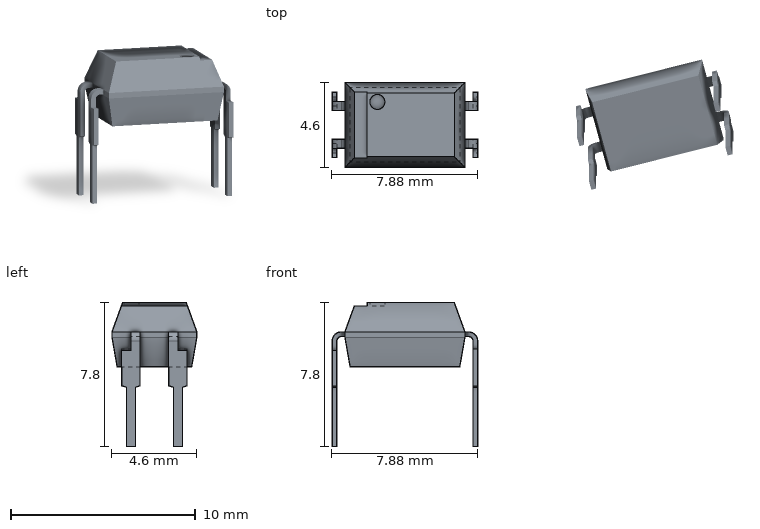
import cadquery as cq
import math


BODY_LENGTH = 6.5
BODY_WIDTH = 4.6
LOWER_HEIGHT = 1.6
BAND_HEIGHT = 0.3
UPPER_HEIGHT = 1.6
LOWER_DRAFT = 10.0
UPPER_DRAFT = 20.0
BAND_BOTTOM = LOWER_HEIGHT
BAND_TOP = BAND_BOTTOM + BAND_HEIGHT
BODY_TOP = BAND_TOP + UPPER_HEIGHT

STEP_LENGTH = 1.2
STEP_DEPTH = 0.19

MARK_DIAMETER = 0.81
MARK_DEPTH = 0.2
MARK_X = -1.49
MARK_Y = 1.24

OVERALL_LENGTH = 7.88
OVERALL_HEIGHT = 7.8
LEAD_PITCH = 2.54
LEAD_THICKNESS = 0.26
BEND_RADIUS = 0.5
SHOULDER_WIDTH = 1.0
PIN_WIDTH = 0.5
LEFT_SHOULDER_DROP = 1.0
RIGHT_SHOULDER_DROP = 0.94
SHOULDER_END_DROP = 2.92
PIN_START_DROP = 3.0
LEAD_EMBED = 0.1
LEAD_BOTTOM = BODY_TOP - OVERALL_HEIGHT


def make_body():
    """Straight parting band between two halves that taper away from it."""
    band = cq.Workplane("XY", origin=(0, 0, BAND_BOTTOM))
    band = band.rect(BODY_LENGTH, BODY_WIDTH).extrude(BAND_HEIGHT)
    lower = band.faces("<Z").workplane().rect(BODY_LENGTH, BODY_WIDTH)
    lower = lower.extrude(LOWER_HEIGHT, taper=LOWER_DRAFT, combine=False)
    upper = band.faces(">Z").workplane().rect(BODY_LENGTH, BODY_WIDTH)
    upper = upper.extrude(UPPER_HEIGHT, taper=UPPER_DRAFT, combine=False)
    return band.union(lower).union(upper)


def make_step_cutter():
    """Block that lowers the top face across the pin 1 end."""
    corner = (-BODY_LENGTH / 2, -BODY_WIDTH / 2, BODY_TOP - STEP_DEPTH)
    outline = cq.Workplane("XY", origin=corner).rect(STEP_LENGTH, BODY_WIDTH, centered=False)
    return outline.extrude(STEP_DEPTH)


def make_mark_cutter():
    """Shallow round recess beside the step."""
    floor = (MARK_X, MARK_Y, BODY_TOP - MARK_DEPTH)
    return cq.Workplane("XY", origin=floor).circle(MARK_DIAMETER / 2).extrude(MARK_DEPTH)


def make_lead(shoulder_drop):
    """Lead on the +X, +Y corner: a bent strip trimmed to its stepped outline."""
    outer_x = OVERALL_LENGTH / 2
    inner_x = outer_x - LEAD_THICKNESS
    bend_x = outer_x - BEND_RADIUS
    bend_z = BAND_TOP - BEND_RADIUS
    root_x = BODY_LENGTH / 2 - LEAD_EMBED
    inner_radius = BEND_RADIUS - LEAD_THICKNESS
    diagonal = math.sqrt(0.5)
    strip = (
        cq.Workplane("XZ")
        .moveTo(root_x, BAND_TOP)
        .lineTo(bend_x, BAND_TOP)
        .threePointArc(
            (bend_x + BEND_RADIUS * diagonal, bend_z + BEND_RADIUS * diagonal),
            (outer_x, bend_z),
        )
        .lineTo(outer_x, LEAD_BOTTOM)
        .lineTo(inner_x, LEAD_BOTTOM)
        .lineTo(inner_x, bend_z)
        .threePointArc(
            (bend_x + inner_radius * diagonal, bend_z + inner_radius * diagonal),
            (bend_x, bend_z + inner_radius),
        )
        .lineTo(root_x, BAND_TOP - LEAD_THICKNESS)
        .close()
        .extrude(-BODY_WIDTH)
    )

    center_y = LEAD_PITCH / 2
    near_y = center_y - SHOULDER_WIDTH / 2
    far_y = center_y + SHOULDER_WIDTH / 2
    pin_near_y = center_y - PIN_WIDTH / 2
    pin_far_y = center_y + PIN_WIDTH / 2
    shoulder_top = BAND_TOP - shoulder_drop
    shoulder_bottom = BAND_TOP - SHOULDER_END_DROP
    pin_top = BAND_TOP - PIN_START_DROP
    outline = (
        cq.Workplane("YZ")
        .polyline([
            (near_y, BAND_TOP),
            (center_y, BAND_TOP),
            (center_y, shoulder_top),
            (far_y, shoulder_top),
            (far_y, shoulder_bottom),
            (pin_far_y, pin_top),
            (pin_far_y, LEAD_BOTTOM),
            (pin_near_y, LEAD_BOTTOM),
            (pin_near_y, pin_top),
            (near_y, shoulder_bottom),
        ])
        .close()
        .extrude(OVERALL_LENGTH)
    )
    return strip.intersect(outline)


result = make_body().cut(make_step_cutter()).cut(make_mark_cutter())

right_lead = make_lead(RIGHT_SHOULDER_DROP)
left_lead = make_lead(LEFT_SHOULDER_DROP).mirror("YZ")
for lead in (right_lead, left_lead):
    result = result.union(lead).union(lead.mirror("XZ"))